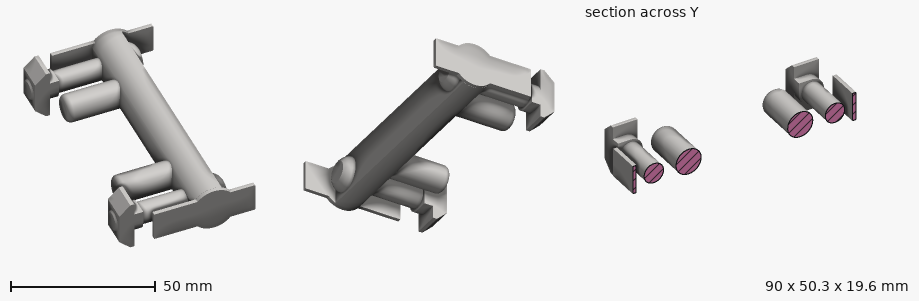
import cadquery as cq
import math

overall_length = 90.0
bar_radius = 8.5
bar_back_y = 3.5

plate_thickness = 1.5
plate_front_y = -22.6
plate_back_y = 15.5
plate_height = 11.4
plate_disc_radius = 8.45
plate_corner_radius = 0.3

screw_x = 36.5
screw_radius = 4.0
screw_tip_y = -34.77
head_base_radius = 6.65
head_top_radius = 4.05
head_height = 3.5
head_bulge_radius = 5.85
head_bulge_height = 2.0

nut_width = 10.0
nut_height = 19.6
nut_face_height = 11.9
nut_front_y = -34.1
nut_neck_y = -25.1
nut_shoulder_y = -28.5
nut_rim_thickness = 1.5

peg_x = 22.5
peg_radius = 5.15
peg_tip_y = -27.5
peg_tip_fillet = 2.0

plate_inner_x = overall_length / 2 - plate_thickness
screw_tip_chamfer = nut_front_y - screw_tip_y
end_flat_y = -math.sqrt(bar_radius**2 - screw_radius**2)


def box_between(x_range, y_range, z_range):
    """Axis-aligned box given by its lower and upper limits."""
    sizes = [high - low for low, high in (x_range, y_range, z_range)]
    corner = (x_range[0], y_range[0], z_range[0])
    return cq.Workplane("XY").box(*sizes, centered=False).translate(corner)


def rod_along_y(x, radius, tip_y, root_y):
    """Cylinder running along Y from its tip to its root."""
    plane = cq.Workplane("XZ", origin=(x, root_y, 0))
    return plane.circle(radius).extrude(root_y - tip_y)


def make_bar():
    """Rod with a flat back and a short flat from each end to its screw."""
    plane = cq.Workplane("YZ", origin=(-plate_inner_x, 0, 0))
    bar = plane.circle(bar_radius).extrude(2 * plate_inner_x)
    bar = bar.cut(
        box_between((-plate_inner_x, plate_inner_x), (bar_back_y, bar_radius), (-bar_radius, bar_radius))
    )
    for x_range in ((-plate_inner_x, -screw_x), (screw_x, plate_inner_x)):
        bar = bar.cut(box_between(x_range, (-bar_radius, end_flat_y), (-bar_radius, bar_radius)))
    return bar


def make_plate(start_x):
    """Upright strip with a round bulge that covers the bar end."""
    half_height = plate_height / 2
    strip = box_between(
        (start_x, start_x + plate_thickness), (plate_front_y, plate_back_y), (-half_height, half_height)
    )
    strip = strip.edges("|X").fillet(plate_corner_radius)
    disc = cq.Workplane("YZ", origin=(start_x, 0, 0)).circle(plate_disc_radius).extrude(plate_thickness)
    return strip.union(disc)


def make_screw(x):
    """Domed head on the flat back, with a shank through the bar and a chamfered tip."""
    shank = rod_along_y(x, screw_radius, screw_tip_y, bar_back_y)
    shank = shank.faces("<Y").chamfer(screw_tip_chamfer)
    head = (
        cq.Workplane("XY")
        .lineTo(head_base_radius, 0)
        .threePointArc((head_bulge_radius, head_bulge_height), (head_top_radius, head_height))
        .lineTo(0, head_height)
        .close()
        .revolve(360, (0, 0), (0, 1))
        .translate((x, bar_back_y, 0))
    )
    return shank.union(head)


def make_nut(x):
    """T-nut: bevelled head and a square neck with two opposite corners rounded."""
    half_width = nut_width / 2
    half_height = nut_height / 2
    half_face = nut_face_height / 2
    rim_y = nut_shoulder_y - nut_rim_thickness
    head = (
        cq.Workplane("YZ", origin=(x - half_width, 0, 0))
        .moveTo(nut_shoulder_y, -half_height)
        .lineTo(nut_shoulder_y, half_height)
        .lineTo(rim_y, half_height)
        .lineTo(nut_front_y, half_face)
        .lineTo(nut_front_y, -half_face)
        .lineTo(rim_y, -half_height)
        .close()
        .extrude(nut_width)
    )
    neck = rod_along_y(x, half_width, nut_shoulder_y, nut_neck_y)
    neck_y_range = (nut_shoulder_y, nut_neck_y)
    neck = neck.union(box_between((x - half_width, x), neck_y_range, (-half_width, 0)))
    neck = neck.union(box_between((x, x + half_width), neck_y_range, (0, half_width)))
    return head.union(neck)


def make_peg(x):
    """Locating peg rooted on the bar axis, with a rounded tip."""
    peg = rod_along_y(x, peg_radius, peg_tip_y, 0)
    return peg.faces("<Y").edges().fillet(peg_tip_fillet)


result = make_bar()
for plate_start_x in (-overall_length / 2, plate_inner_x):
    result = result.union(make_plate(plate_start_x))
for side in (-1, 1):
    result = result.union(make_screw(side * screw_x))
    result = result.union(make_nut(side * screw_x))
    result = result.union(make_peg(side * peg_x))